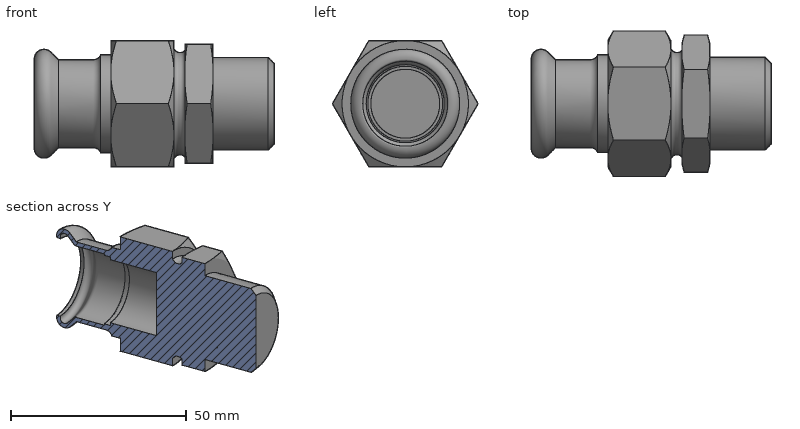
import cadquery as cq
import math

overall_length = 68.4
pipe_bead_radius = 2.8
collar_fillet_start = 16.95
collar_start = 18.95
nut_start = 21.8
nut_end = 39.8
neck_cone_end = 40.4
neck_groove_end = 41.85
body_hex_start = 42.95
body_hex_end = 50.9

nut_across_flats = 36.0
nut_chamfer_diameter = nut_across_flats
nut_chamfer_angle = 30.0
body_hex_across_flats = 33.9
body_hex_chamfer_diameter = 34.5
body_hex_chamfer_angle = 15.0
bead_outer_radius = 15.5
bead_center = (pipe_bead_radius, bead_outer_radius - pipe_bead_radius)
pipe_radius = 25.2 / 2
collar_radius = 28.0 / 2
neck_radius = 29.3 / 2
neck_fillet_radius = 1.15
spigot_radius = 26.5 / 2
spigot_chamfer = 1.8

lip_radius = 12.1
lip_round = 0.5
seal_groove_radius = 1.4
socket_radius = 22.2 / 2
groove_exit_radius = 23.3 / 2
socket_end = 16.4
pipe_stop_radius = 10.7
bore_start = 18.5
bore_radius = 19.6 / 2
bore_end = 34.2


def revolve_about_x(profile):
    """Turn a closed profile drawn as (X, radius) around the X axis."""
    return profile.close().revolve(360, (0, 0, 0), (1, 0, 0))


def chamfered_hexagon(start, end, across_flats, chamfer_diameter, chamfer_angle):
    """Hexagonal prism along X with corners on Y and cone-chamfered ends."""
    corner_diameter = across_flats / math.cos(math.radians(30))
    hexagon = cq.Workplane("YZ").workplane(offset=start).polygon(6, corner_diameter).extrude(end - start)
    corner_radius = corner_diameter / 2
    end_radius = chamfer_diameter / 2
    depth = (corner_radius - end_radius) * math.tan(math.radians(chamfer_angle))
    envelope = (
        cq.Workplane("XY")
        .moveTo(start, 0)
        .lineTo(start, end_radius)
        .lineTo(start + depth, corner_radius)
        .lineTo(end - depth, corner_radius)
        .lineTo(end, end_radius)
        .lineTo(end, 0)
    )
    return hexagon.intersect(revolve_about_x(envelope))


def arc_point(center_x, center_r, radius, degrees):
    """Point on a profile arc, with the angle measured from +X towards larger radius."""
    angle = math.radians(degrees)
    return center_x + radius * math.cos(angle), center_r + radius * math.sin(angle)


def press_end():
    """Pipe with a rounded bead at its mouth and a filleted collar at the nut."""
    bead_end = arc_point(*bead_center, pipe_bead_radius, 45)
    bead_cone_end = bead_end[0] + bead_end[1] - pipe_radius
    run = collar_start - collar_fillet_start
    rise = collar_radius - pipe_radius
    fillet_radius = (run**2 + rise**2) / (2 * rise)
    half_sweep = math.degrees(math.asin(run / fillet_radius)) / 2
    fillet_center = (collar_fillet_start, pipe_radius + fillet_radius)
    fillet_middle = arc_point(*fillet_center, fillet_radius, half_sweep - 90)
    profile = (
        cq.Workplane("XY")
        .lineTo(0, bead_center[1])
        .threePointArc(arc_point(*bead_center, pipe_bead_radius, 112.5), bead_end)
        .lineTo(bead_cone_end, pipe_radius)
        .lineTo(collar_fillet_start, pipe_radius)
        .threePointArc(fillet_middle, (collar_start, collar_radius))
        .lineTo(nut_start, collar_radius)
        .lineTo(nut_start, 0)
    )
    return revolve_about_x(profile)


def neck():
    """Grooved neck between the union nut and the body hexagon."""
    fillet_center_r = neck_radius + neck_fillet_radius
    cone_end = (neck_cone_end, fillet_center_r - neck_fillet_radius * math.sin(math.radians(45)))
    groove_start = neck_cone_end + neck_fillet_radius * math.cos(math.radians(45))
    cone_start_radius = cone_end[1] + neck_cone_end - nut_end
    sweep = math.degrees(math.asin((body_hex_start - neck_groove_end) / neck_fillet_radius))
    first_middle = arc_point(groove_start, fillet_center_r, neck_fillet_radius, -112.5)
    second_middle = arc_point(neck_groove_end, fillet_center_r, neck_fillet_radius, sweep / 2 - 90)
    second_end = arc_point(neck_groove_end, fillet_center_r, neck_fillet_radius, sweep - 90)
    profile = (
        cq.Workplane("XY")
        .moveTo(nut_end, 0)
        .lineTo(nut_end, cone_start_radius)
        .lineTo(*cone_end)
        .threePointArc(first_middle, (groove_start, neck_radius))
        .lineTo(neck_groove_end, neck_radius)
        .threePointArc(second_middle, second_end)
        .lineTo(body_hex_start, 0)
    )
    return revolve_about_x(profile)


def spigot():
    """Plain cylindrical male end with a chamfered tip."""
    length = overall_length - body_hex_end
    cylinder = cq.Workplane("YZ").workplane(offset=body_hex_end).circle(spigot_radius).extrude(length)
    return cylinder.faces(">X").chamfer(spigot_chamfer)


def socket():
    """Blind cavity with a rounded lip, a seal groove inside the bead and stepped bores."""
    lip_center = (lip_round, lip_radius + lip_round)
    groove_end = arc_point(*bead_center, seal_groove_radius, 45)
    groove_cone_end = groove_end[0] + groove_end[1] - groove_exit_radius
    exit_radius = (groove_exit_radius - socket_radius) / (1 - math.cos(math.radians(45)))
    socket_start = groove_cone_end + exit_radius * math.sin(math.radians(45))
    exit_center = (socket_start, socket_radius + exit_radius)
    profile = (
        cq.Workplane("XY")
        .lineTo(0, lip_center[1])
        .threePointArc(arc_point(*lip_center, lip_round, -135), (lip_round, lip_radius))
        .lineTo(bead_center[0] - seal_groove_radius, lip_radius)
        .lineTo(bead_center[0] - seal_groove_radius, bead_center[1])
        .threePointArc(arc_point(*bead_center, seal_groove_radius, 112.5), groove_end)
        .lineTo(groove_cone_end, groove_exit_radius)
        .threePointArc(arc_point(*exit_center, exit_radius, -112.5), (socket_start, socket_radius))
        .lineTo(socket_end, socket_radius)
        .lineTo(socket_end, pipe_stop_radius)
        .lineTo(bore_start, pipe_stop_radius)
        .lineTo(bore_start, bore_radius)
        .lineTo(bore_end, bore_radius)
        .lineTo(bore_end, 0)
    )
    return revolve_about_x(profile)


union_nut = chamfered_hexagon(
    nut_start, nut_end, nut_across_flats, nut_chamfer_diameter, nut_chamfer_angle
)
body_hex = chamfered_hexagon(
    body_hex_start,
    body_hex_end,
    body_hex_across_flats,
    body_hex_chamfer_diameter,
    body_hex_chamfer_angle,
)

result = press_end().union(union_nut).union(neck()).union(body_hex).union(spigot()).cut(socket())